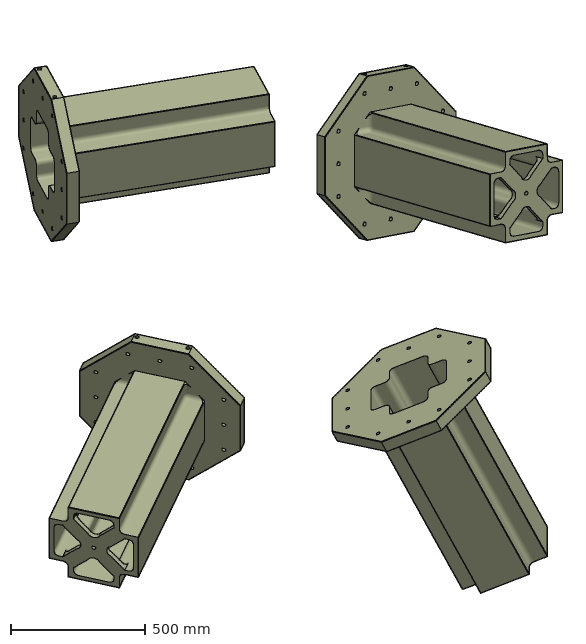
import cadquery as cq
import math

TOTAL_LENGTH = 850.0
EDGE_CHAMFER = 2.0

FLANGE_WIDTH = 630.0
FLANGE_FLAT = 225.0
FLANGE_THICKNESS = 50.0

COLUMN_WIDTH = 350.0
COLUMN_ARM_WIDTH = 201.0
COLUMN_NOTCH_RADIUS = 20.0
FLANGE_JOINT_RADIUS = 20.0

CAVITY_WIDTH = 310.0
CAVITY_ARM_WIDTH = 157.0
CAVITY_TIP_RADIUS = 19.5
CAVITY_NOTCH_RADIUS = 20.0

WEB_THICKNESS = 20.0
WEB_BAR_WIDTH = 60.0
WEB_JOINT_RADIUS = 20.0
HUB_RADIUS = 59.5
RELIEF_DIAMETER = 51.0
RELIEF_OFFSET = 76.5

HOLE_DIAMETER = 14.5
BOLT_ROW_OFFSET = 250.0
BOLT_PITCH = 125.0
EDGE_HOLE_OFFSET = 99.5
EDGE_HOLE_SETBACK = 18.0
EDGE_HOLE_DEPTH = 25.5
DRILL_TIP_ANGLE = 118.0

CAVITY_END = TOTAL_LENGTH - WEB_THICKNESS
OVERSIZE = 2 * FLANGE_WIDTH


def section(y):
    """Workplane across the column at depth y, facing +Y, with local axes -X and Z."""
    return cq.Workplane(cq.Plane(origin=(0, y, 0), xDir=(-1, 0, 0), normal=(0, 1, 0)))


def make_flange():
    corner_cut = (FLANGE_WIDTH - FLANGE_FLAT) / 2
    flange = section(0).rect(FLANGE_WIDTH, FLANGE_WIDTH).extrude(FLANGE_THICKNESS)
    flange = flange.edges("|Y").chamfer(corner_cut)
    return flange.faces("<Y or >Y").edges().chamfer(EDGE_CHAMFER)


def make_column():
    """Octagonal bar with a notch along each diagonal side.

    The diagonal sides lie just inside the corners of the cross, so they leave
    the chamfers on the arm tips and trim the ends of the flange joint fillets.
    """
    corner_cut = (COLUMN_WIDTH - COLUMN_ARM_WIDTH) / 2 + EDGE_CHAMFER
    length = TOTAL_LENGTH - FLANGE_THICKNESS
    bar = section(FLANGE_THICKNESS).rect(COLUMN_WIDTH, COLUMN_WIDTH).extrude(length)
    bar = bar.edges("|Y").chamfer(corner_cut)
    bar = bar.faces(">Y").edges("|X or |Z").chamfer(EDGE_CHAMFER)

    notch_size = COLUMN_WIDTH
    notch_centre = (COLUMN_ARM_WIDTH + notch_size) / 2
    notch = (
        section(FLANGE_THICKNESS)
        .center(-notch_centre, notch_centre)
        .rect(notch_size, notch_size)
        .extrude(TOTAL_LENGTH)
    )
    notch = notch.edges("|Y and <X and <Z").fillet(COLUMN_NOTCH_RADIUS)
    notch = notch.faces("<Y").edges("<X or <Z").fillet(FLANGE_JOINT_RADIUS)
    for quarter in range(4):
        bar = bar.cut(notch.rotate((0, 0, 0), (0, 1, 0), 90 * quarter))
    return bar


def near_axis(reach):
    """Selector for edges whose centres lie within the given X and Z distance of the axis."""
    return cq.selectors.BoxSelector((-reach, -OVERSIZE, -reach), (reach, OVERSIZE, reach))


def cavity_cross(length, width):
    """Cavity cross prism from the front face, rounded only where its arms meet."""
    wide = section(0).rect(width, CAVITY_ARM_WIDTH).extrude(length)
    tall = section(0).rect(CAVITY_ARM_WIDTH, width).extrude(length)
    halfway_along_arm = (CAVITY_ARM_WIDTH + CAVITY_WIDTH) / 4
    notch_edges = wide.union(tall).edges("|Y").edges(near_axis(halfway_along_arm))
    return notch_edges.fillet(CAVITY_NOTCH_RADIUS)


def rounded_cross(length):
    """Cavity cross prism with its arm tips rounded as well."""
    body = cavity_cross(length, CAVITY_WIDTH)
    tip_edges = body.faces("<X or >X or <Z or >Z").edges("|Y")
    return tip_edges.fillet(CAVITY_TIP_RADIUS)


def make_cavity():
    """Blind cavity with a fillet where its notches meet the web.

    The fillet is made on a cross with overlong arms, so that the arm tips stay clear of it.
    """
    flare = cavity_cross(CAVITY_END, OVERSIZE)
    all_but_arm_tips = OVERSIZE / 2 - CAVITY_ARM_WIDTH
    flare = flare.faces(">Y").edges(near_axis(all_but_arm_tips)).fillet(WEB_JOINT_RADIUS)
    return rounded_cross(CAVITY_END).intersect(flare)


def make_windows():
    """Four openings left between the bars of the web."""
    windows = rounded_cross(TOTAL_LENGTH)
    for angle in (45, -45):
        bar = section(0).transformed(rotate=(0, 0, angle)).rect(OVERSIZE, WEB_BAR_WIDTH)
        windows = windows.cut(bar.extrude(TOTAL_LENGTH))
    hub = section(0).circle(HUB_RADIUS).extrude(TOTAL_LENGTH)
    reliefs = (
        section(0)
        .polarArray(RELIEF_OFFSET, 0, 360, 4)
        .circle(RELIEF_DIAMETER / 2)
        .extrude(TOTAL_LENGTH)
    )
    return windows.cut(hub).union(reliefs)


def make_through_holes():
    """Rows of three bolt holes along each side of the flange, and the centre hole."""
    points = [(0, 0)]
    for step in (-1, 0, 1):
        for side in (-1, 1):
            points.append((step * BOLT_PITCH, side * BOLT_ROW_OFFSET))
            points.append((side * BOLT_ROW_OFFSET, step * BOLT_PITCH))
    return section(0).pushPoints(points).circle(HOLE_DIAMETER / 2).extrude(TOTAL_LENGTH)


def make_edge_hole(x):
    """Drilled hole with a conical bottom, sunk into the top edge of the flange."""
    radius = HOLE_DIAMETER / 2
    tip = radius / math.tan(math.radians(DRILL_TIP_ANGLE / 2))
    profile = (
        cq.Workplane("XZ")
        .polyline([(0, 0), (radius, 0), (radius, -EDGE_HOLE_DEPTH), (0, -EDGE_HOLE_DEPTH - tip)])
        .close()
    )
    drill = profile.revolve(360, (0, 0), (0, 1))
    return drill.translate((x, EDGE_HOLE_SETBACK, FLANGE_WIDTH / 2))


result = make_flange().union(make_column())
result = result.cut(make_cavity()).cut(make_windows()).cut(make_through_holes())
for side in (-1, 1):
    result = result.cut(make_edge_hole(side * EDGE_HOLE_OFFSET))